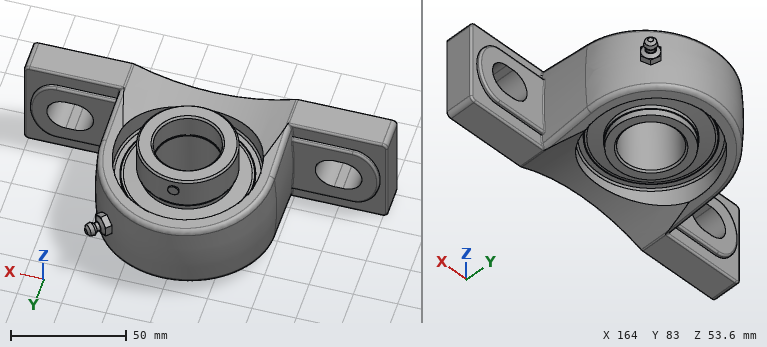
import cadquery as cq
import math


axis_height = 42.9

foot_length = 164.0
foot_width = 47.0
foot_height = 15.0
foot_corner_radius = 2.5
foot_edge_radius = 1.0
waist_half_length = 37.4
waist_blend_radius = 2.5
waist_thickness = 32.0

slot_spacing = 121.0
slot_length = 21.0
slot_width = 17.0
pad_half_length = 78.7
pad_height = 2.0
pad_width = 32.4
pad_end_bow = 12.0
pad_edge_radius = 1.0

upright_radius = 40.05
barrel_radius = 180.0
upright_taper = 6.0
upright_edge_radius = 2.5
root_fillet_radius = 0.5
root_reach = 3.0

seat_sphere_radius = 31.0
seat_half_width = 9.9
shelf_radius = 31.8
recess_radius = 65.43 / 2

outer_ring_half_width = 10.0
outer_ring_edge_chamfer = 0.4
outer_ring_bore_radius = 51.4 / 2
seal_outer_radius = 55.88 / 2
seal_thickness = 2.0
seal_rise = 0.5

shaft_radius = 30.0 / 2
inner_ring_bottom = -16.1
land_radius = 41.34 / 2
land_half_width = 12.6
shoulder_radius = 40.32 / 2
neck_radius = 37.64 / 2
neck_top = 18.1
bore_chamfer = 0.9
neck_chamfer = 0.4

collar_radius = 44.5 / 2
collar_bottom = 15.0
collar_top = 30.11
collar_chamfer = 0.9
screw_radius = 5.0 / 2
screw_height = 24.1
screw_start = 17.0
screw_end = 22.9

nipple_angle = 45.0
nipple_stem_start = 34.0
nipple_hex_start = 40.0
nipple_hex_end = 43.1
nipple_cone_end = 44.3
nipple_neck_end = 46.0
nipple_head_widest = 47.3
nipple_head_shoulder = 49.3
nipple_tip = 50.4
nipple_hex_flats = 9.0
nipple_stem_radius = 5.0 / 2
nipple_cone_base_radius = 4.4
nipple_neck_radius = 2.0
nipple_head_base_radius = 2.2
nipple_head_widest_radius = 3.1
nipple_head_shoulder_radius = 5.36 / 2
nipple_tip_radius = 2.51 / 2


def turned(profile):
    """Solid of revolution about the bore axis from a closed (radius, Z) polyline."""
    body = cq.Workplane("XZ").polyline(profile).close().revolve(360, (0, 0, 0), (0, 1, 0))
    return body.translate((0, axis_height, 0))


def make_foot():
    """Foot plate with rounded corners and edges, before the waist is cut."""
    plate = cq.Workplane("XY").box(foot_length, foot_height, foot_width)
    plate = plate.translate((0, foot_height / 2, 0))
    plate = plate.edges("|Y").fillet(foot_corner_radius)
    return plate.faces(">Y").edges().fillet(foot_edge_radius)


def make_pads():
    """Raised pad on each side of the upright, with a half-elliptic outer end."""
    height = foot_height + pad_height
    end_x = pad_half_length - pad_end_bow
    ends = (
        cq.Workplane("XZ")
        .pushPoints([(-end_x, 0), (end_x, 0)])
        .ellipse(pad_end_bow, pad_width / 2)
        .extrude(-height)
    )
    pads = cq.Workplane("XZ").rect(2 * end_x, pad_width).extrude(-height).union(ends)
    return pads.faces(">Y").edges().fillet(pad_edge_radius)


def make_upright():
    """Round-topped upright with crowned side walls and tapered, edge-rounded faces."""
    half_width = foot_width / 2
    crown = barrel_radius - math.sqrt(barrel_radius**2 - half_width**2)
    edge_radius = upright_radius - crown
    dome_profile = (
        cq.Workplane("XZ")
        .moveTo(0, -half_width)
        .lineTo(edge_radius, -half_width)
        .threePointArc((upright_radius, 0), (edge_radius, half_width))
        .lineTo(0, half_width)
        .close()
    )
    dome = dome_profile.revolve(360, (0, 0, 0), (0, 1, 0)).translate((0, axis_height, 0))
    legs = (
        cq.Workplane("XZ")
        .moveTo(-edge_radius, -half_width)
        .lineTo(edge_radius, -half_width)
        .threePointArc((upright_radius, 0), (edge_radius, half_width))
        .lineTo(-edge_radius, half_width)
        .threePointArc((-upright_radius, 0), (-edge_radius, -half_width))
        .close()
        .extrude(-axis_height)
    )
    top = axis_height + 2 * upright_radius
    top_half_width = half_width - (top - foot_height) * math.tan(math.radians(upright_taper))
    wedge = (
        cq.Workplane("YZ")
        .polyline(
            [
                (foot_height / 2, -half_width),
                (foot_height, -half_width),
                (top, -top_half_width),
                (top, top_half_width),
                (foot_height, half_width),
                (foot_height / 2, half_width),
            ]
        )
        .close()
        .extrude(upright_radius, both=True)
    )
    upright = legs.union(dome).intersect(wedge)
    return upright.edges("%ELLIPSE").fillet(upright_edge_radius)


def make_waist_cutters():
    """The two hollows, on +Z and -Z, that narrow the foot and the base of the upright."""
    half_width = foot_width / 2
    waist_z = waist_thickness / 2
    blend_z = half_width - waist_blend_radius
    step = blend_z - waist_z
    chord_term = waist_half_length**2 + step**2 - waist_blend_radius**2
    arc_radius = chord_term / (2 * (waist_blend_radius + step))
    arc_z = waist_z + arc_radius
    end_angle = math.atan2(waist_half_length, arc_z - blend_z)

    def on_hollow(angle):
        return (arc_radius * math.sin(angle), arc_z - arc_radius * math.cos(angle))

    def on_blend(side, angle):
        x = waist_half_length - waist_blend_radius * math.sin(angle)
        return (side * x, blend_z + waist_blend_radius * math.cos(angle))

    cutter = (
        cq.Workplane("XZ")
        .moveTo(-waist_half_length, half_width)
        .threePointArc(on_blend(-1, end_angle / 2), on_hollow(-end_angle))
        .threePointArc(on_hollow(0), on_hollow(end_angle))
        .threePointArc(on_blend(1, end_angle / 2), (waist_half_length, half_width))
        .close()
        .extrude(-axis_height)
    )
    return [cutter, cutter.mirror("XY")]


def make_slots():
    """Bolt slots through the foot."""
    return (
        cq.Workplane("XZ")
        .pushPoints([(-slot_spacing / 2, 0), (slot_spacing / 2, 0)])
        .slot2D(slot_length, slot_width)
        .extrude(-(foot_height + pad_height))
    )


def make_seat():
    """Space cut through the housing: spherical seat, shelf, sloped lip and recess on each side."""
    ball_edge = math.sqrt(seat_sphere_radius**2 - seat_half_width**2)
    lip_z = seat_half_width + recess_radius - shelf_radius
    end_z = foot_width / 2
    profile = (
        cq.Workplane("XZ")
        .moveTo(0, -end_z)
        .lineTo(recess_radius, -end_z)
        .lineTo(recess_radius, -lip_z)
        .lineTo(shelf_radius, -seat_half_width)
        .lineTo(ball_edge, -seat_half_width)
        .threePointArc((seat_sphere_radius, 0), (ball_edge, seat_half_width))
        .lineTo(shelf_radius, seat_half_width)
        .lineTo(recess_radius, lip_z)
        .lineTo(recess_radius, end_z)
        .lineTo(0, end_z)
        .close()
    )
    return profile.revolve(360, (0, 0, 0), (0, 1, 0)).translate((0, axis_height, 0))


def make_nipple():
    """Grease nipple: stem, hexagon, cone, neck and head along an axis through the bore centre."""
    angle = math.radians(nipple_angle)
    bore_centre = (0, axis_height, 0)
    axis = cq.Plane(
        origin=bore_centre,
        xDir=(0, 0, 1),
        normal=(math.cos(angle), math.sin(angle), 0),
    )
    hexagon = (
        cq.Workplane(axis)
        .workplane(offset=nipple_hex_start)
        .polygon(6, nipple_hex_flats / math.cos(math.pi / 6))
        .extrude(nipple_hex_end - nipple_hex_start)
    )
    profile = [
        (0, nipple_stem_start),
        (nipple_stem_radius, nipple_stem_start),
        (nipple_stem_radius, nipple_hex_end),
        (nipple_cone_base_radius, nipple_hex_end),
        (nipple_stem_radius, nipple_cone_end),
        (nipple_neck_radius, nipple_cone_end),
        (nipple_neck_radius, nipple_neck_end),
        (nipple_head_base_radius, nipple_neck_end),
        (nipple_head_widest_radius, nipple_head_widest),
        (nipple_head_shoulder_radius, nipple_head_shoulder),
        (nipple_tip_radius, nipple_tip),
        (0, nipple_tip),
    ]
    lengthwise = cq.Plane(
        origin=bore_centre,
        xDir=(0, 0, 1),
        normal=(-math.sin(angle), math.cos(angle), 0),
    )
    turned_part = cq.Workplane(lengthwise).polyline(profile).close().revolve(360, (0, 0, 0), (0, 1, 0))
    return hexagon.union(turned_part)


def make_housing(nipple):
    """Foot, pads and upright in one casting, with waist, slots, bearing seat and nipple hole."""
    housing = make_foot().union(make_pads()).union(make_upright())
    low_y = foot_height - root_fillet_radius
    high_y = foot_height + pad_height + root_fillet_radius
    for side in (-1, 1):
        root = cq.selectors.BoxSelector(
            (side * (upright_radius - root_reach), low_y, -foot_width / 2),
            (side * (upright_radius + root_reach), high_y, foot_width / 2),
        )
        housing = housing.edges(root).fillet(root_fillet_radius)
    for cutter in make_waist_cutters():
        housing = housing.cut(cutter)
    for hole in (make_slots(), make_seat(), nipple):
        housing = housing.cut(hole)
    return housing


def make_outer_ring():
    """Spherical outer ring with a seal seat at each end."""
    face_radius = math.sqrt(seat_sphere_radius**2 - outer_ring_half_width**2)
    face_edge = face_radius - outer_ring_edge_chamfer
    chamfer_z = outer_ring_half_width - outer_ring_edge_chamfer
    chamfer_radius = math.sqrt(seat_sphere_radius**2 - chamfer_z**2)
    seal_z = outer_ring_half_width - seal_thickness
    profile = (
        cq.Workplane("XZ")
        .moveTo(seal_outer_radius, -outer_ring_half_width)
        .lineTo(face_edge, -outer_ring_half_width)
        .lineTo(chamfer_radius, -chamfer_z)
        .threePointArc((seat_sphere_radius, 0), (chamfer_radius, chamfer_z))
        .lineTo(face_edge, outer_ring_half_width)
        .lineTo(seal_outer_radius, outer_ring_half_width)
        .lineTo(seal_outer_radius, seal_z)
        .lineTo(outer_ring_bore_radius, seal_z)
        .lineTo(outer_ring_bore_radius, -seal_z)
        .lineTo(seal_outer_radius, -seal_z)
        .close()
    )
    return profile.revolve(360, (0, 0, 0), (0, 1, 0)).translate((0, axis_height, 0))


def make_seal(side):
    """Slightly conical seal ring between the inner and outer rings; side is +1 (top) or -1 (bottom)."""
    inner_z = side * (outer_ring_half_width - seal_thickness)
    outer_z = side * outer_ring_half_width
    return turned([
        (land_radius, inner_z),
        (seal_outer_radius, inner_z),
        (seal_outer_radius, outer_z),
        (land_radius, outer_z + side * seal_rise),
    ])


def make_inner_ring():
    """Inner ring with a raised land under the seals and a neck that enters the collar."""
    return turned([
        (shaft_radius + bore_chamfer, inner_ring_bottom),
        (shoulder_radius, inner_ring_bottom),
        (shoulder_radius, -land_half_width),
        (land_radius, -land_half_width),
        (land_radius, land_half_width),
        (shoulder_radius, land_half_width),
        (shoulder_radius, collar_bottom),
        (neck_radius, collar_bottom),
        (neck_radius, neck_top),
        (shaft_radius + neck_chamfer, neck_top),
        (shaft_radius, neck_top - neck_chamfer),
        (shaft_radius, inner_ring_bottom + bore_chamfer),
    ])


def make_screw_rod(start, end):
    """Round rod along +Y at the set-screw height, between two distances from the bore axis."""
    rod = cq.Workplane("XZ").center(0, screw_height).circle(screw_radius).extrude(-(end - start))
    return rod.translate((0, axis_height + start, 0))


def make_collar():
    """Locking collar, counterbored for the inner ring's neck and cross-drilled for the screw."""
    collar = turned([
        (neck_radius, collar_bottom),
        (collar_radius, collar_bottom),
        (collar_radius, collar_top - collar_chamfer),
        (collar_radius - collar_chamfer, collar_top),
        (shaft_radius + bore_chamfer, collar_top),
        (shaft_radius, collar_top - bore_chamfer),
        (shaft_radius, neck_top),
        (neck_radius, neck_top),
    ])
    return collar.cut(make_screw_rod(0, screw_end))


nipple = make_nipple()
housing = make_housing(nipple)
outer_ring = make_outer_ring()
seals = [make_seal(side) for side in (1, -1)]
inner_ring = make_inner_ring()
collar = make_collar()
set_screw = make_screw_rod(screw_start, screw_end)

result = cq.Compound.makeCompound([
    housing.val(),
    nipple.val(),
    outer_ring.val(),
    *[seal.val() for seal in seals],
    inner_ring.val(),
    collar.val(),
    set_screw.val(),
])